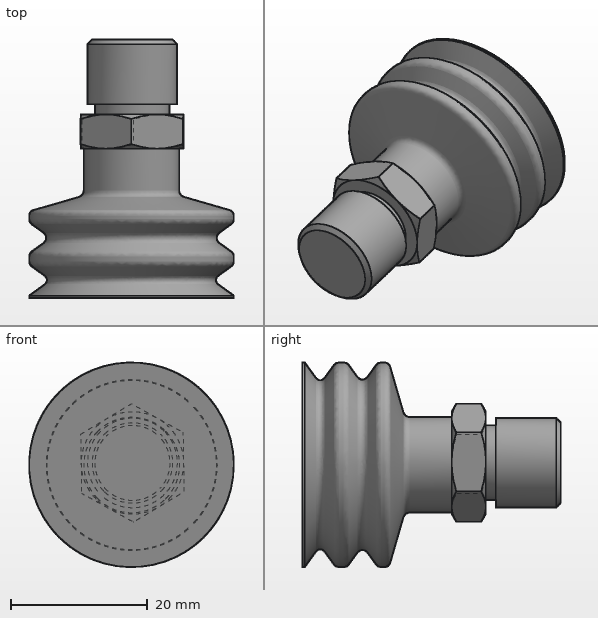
import cadquery as cq
import math


cup_radius = 15.0
lip_thickness = 0.38
fold_run = 2.27
fold_depth = 3.15
ridge_width = 1.63
valley_radius = cup_radius - fold_depth
ridge_round = 0.9
lower_valley_round = 0.75
upper_valley_round = 0.9

lower_valley = lip_thickness + fold_run
lower_ridge_start = lower_valley + fold_run
lower_ridge_end = lower_ridge_start + ridge_width
upper_valley = lower_ridge_end + fold_run
upper_ridge_start = upper_valley + fold_run
upper_ridge_end = upper_ridge_start + ridge_width

neck_radius = 14.0 / 2
shoulder_run = 2.3
shoulder_end = upper_ridge_end + shoulder_run
neck_round = 0.95
nut_start = 21.9
nut_thickness = 5.0
nut_end = nut_start + nut_thickness
nut_flats = 15.0
nut_chamfer_angle = 30.0
nut_turn = -1.0
groove_radius = 11.0 / 2
groove_width = 1.48
thread_start = nut_end + groove_width
thread_radius = 13.15 / 2
thread_chamfer = 0.7
total_length = 37.88
fitting_offset = (0.1, 0, 0.3)


def revolve_profile(points):
    """Revolve a closed (radius, station) outline about the Y axis."""
    return cq.Workplane("XY").polyline(points).close().revolve(360, (0, 0, 0), (0, 1, 0))


def round_rims(body, stations, radius):
    """Fillet the circular edges lying at the given stations."""
    for station in stations:
        reach = 2 * cup_radius
        band = 0.05
        rim = cq.selectors.BoxSelector(
            (-reach, station - band, -reach), (reach, station + band, reach)
        )
        body = body.edges("%CIRCLE").edges(rim).fillet(radius)
    return body


def make_bellows():
    body = revolve_profile([
        (0, 0),
        (cup_radius, 0),
        (cup_radius, lip_thickness),
        (valley_radius, lower_valley),
        (cup_radius, lower_ridge_start),
        (cup_radius, lower_ridge_end),
        (valley_radius, upper_valley),
        (cup_radius, upper_ridge_start),
        (cup_radius, upper_ridge_end),
        (neck_radius, shoulder_end),
        (neck_radius, nut_start),
        (0, nut_start),
    ])
    ridges = [lower_ridge_start, lower_ridge_end, upper_ridge_start, upper_ridge_end]
    body = round_rims(body, ridges, ridge_round)
    body = round_rims(body, [lower_valley], lower_valley_round)
    body = round_rims(body, [upper_valley], upper_valley_round)
    return round_rims(body, [shoulder_end], neck_round)


def make_nut():
    """Hexagon with two corners close to Z, both ends chamfered down to the flats."""
    flat_radius = nut_flats / 2
    corner_radius = flat_radius / math.cos(math.radians(30))
    chamfer_run = (corner_radius - flat_radius) * math.tan(math.radians(nut_chamfer_angle))
    hexagon = (
        cq.Workplane("XZ", origin=(0, nut_start, 0))
        .transformed(rotate=(0, 0, 90))
        .polygon(6, 2 * corner_radius)
        .extrude(-nut_thickness)
    )
    envelope = revolve_profile([
        (0, nut_start),
        (flat_radius, nut_start),
        (corner_radius, nut_start + chamfer_run),
        (corner_radius, nut_end - chamfer_run),
        (flat_radius, nut_end),
        (0, nut_end),
    ])
    nut = hexagon.intersect(envelope)
    return nut.rotate((0, 0, 0), (0, 1, 0), nut_turn)


def make_threaded_end():
    return revolve_profile([
        (0, nut_end),
        (groove_radius, nut_end),
        (groove_radius, thread_start),
        (thread_radius, thread_start),
        (thread_radius, total_length - thread_chamfer),
        (thread_radius - thread_chamfer, total_length),
        (0, total_length),
    ])


fitting = make_nut().union(make_threaded_end()).translate(fitting_offset)
result = make_bellows().union(fitting)